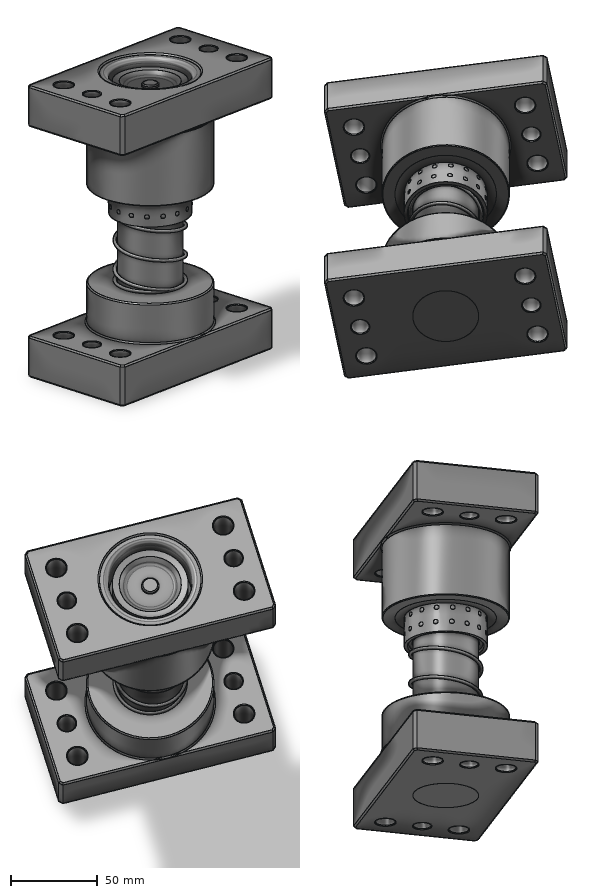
import cadquery as cq
import math

TOTAL_HEIGHT = 179.51

PLATE_WIDTH = 75.0
PLATE_LENGTH = 130.0
PLATE_THICKNESS = 25.2
PLATE_TURN = 31.09
CORNER_CHAMFER = 2.0
PLATE_EDGE_CHAMFER = 1.0
SCREW_HOLE_RADIUS = 5.7
DOWEL_HOLE_RADIUS = 5.1
HOLE_CHAMFER = 0.5
HOLE_SPACING = 22.0
HOLE_ROW_OFFSET = 50.0
BOSS_RADIUS = 36.75
BOSS_FOOT_FLARE = 0.9
LOWER_BOSS_TOP = 50.0
LOWER_BOSS_CHAMFER = 0.8
UPPER_BOSS_BOTTOM = 110.0
UPPER_BOSS_CHAMFER = 0.5

BUSH_RADIUS = 29.25
BUSH_SEAT_CHAMFER = 0.9
BUSH_SETBACK = 1.0
BUSH_BORE_RADIUS = 24.0
BUSH_MOUTH_FILLET = 3.0

POST_RADIUS = 19.0
POST_TOP = 165.0

CAGE_RADIUS = BUSH_BORE_RADIUS
CAGE_BOTTOM = 92.5
CAGE_TOP = 160.0
SPRING_SEAT_RADIUS = 22.0
SPRING_SEAT_DEPTH = 3.0
BALL_RADIUS = 2.5
BALL_CIRCLE_RADIUS = 21.9
BALLS_PER_ROW = 16
BALL_ROWS = 2
FIRST_ROW_HEIGHT = 6.1
ROW_PITCH = 8.8
FIRST_ROW_ANGLE = 1.3
ROW_TWIST = 1.3

WIRE_RADIUS = 1.0
COIL_RADIUS = 20.5
COIL_PITCH = 18.0
COIL_START_ANGLE = 24.0

CAP_RADIUS = 21.9
CAP_TOP = 173.9
CAP_RIM_WIDTH = 4.0
CAP_RIM_DROP = 0.4
DISH_CONE_DEPTH = 2.2
DISH_CONE_ANGLE = 42.0
DISH_FILLET = 3.1

PIN_RADIUS = 5.0
PIN_TOP = 172.4
PIN_BOTTOM = 147.4
PIN_CHAMFER = 0.75


def disc(radius, bottom, top):
    """Cylinder about Z."""
    return cq.Workplane("XY", origin=(0, 0, bottom)).circle(radius).extrude(top - bottom)


def turned(points):
    """Solid turned about Z from a closed outline of (radius, height) points."""
    return cq.Workplane("XZ").polyline(points).close().revolve(360, (0, 0, 0), (0, 1, 0))


def chamfered_hole(radius, chamfer):
    """Cutter for a hole through the plate, widened at both mouths."""
    mouth_radius = radius + chamfer
    return turned([
        (0, 0),
        (mouth_radius, 0),
        (radius, chamfer),
        (radius, PLATE_THICKNESS - chamfer),
        (mouth_radius, PLATE_THICKNESS),
        (0, PLATE_THICKNESS),
    ])


def boss(end, chamfer):
    """Round boss standing on the plate, with a flared foot and a chamfered free end."""
    return turned([
        (0, PLATE_THICKNESS),
        (BOSS_RADIUS + BOSS_FOOT_FLARE, PLATE_THICKNESS),
        (BOSS_RADIUS, PLATE_THICKNESS + BOSS_FOOT_FLARE),
        (BOSS_RADIUS, end - chamfer),
        (BOSS_RADIUS - chamfer, end),
        (0, end),
    ])


def plate_with_boss(boss_end, boss_chamfer):
    """Plate lying on Z = 0 with a round boss on top, before boring."""
    body = cq.Workplane("XY").rect(PLATE_WIDTH, PLATE_LENGTH).extrude(PLATE_THICKNESS)
    body = body.edges("|Z").chamfer(CORNER_CHAMFER)
    body = body.faces("<Z or >Z").chamfer(PLATE_EDGE_CHAMFER)

    for y in (-HOLE_ROW_OFFSET, HOLE_ROW_OFFSET):
        for x, radius in (
            (-HOLE_SPACING, SCREW_HOLE_RADIUS),
            (0, DOWEL_HOLE_RADIUS),
            (HOLE_SPACING, SCREW_HOLE_RADIUS),
        ):
            body = body.cut(chamfered_hole(radius, HOLE_CHAMFER).translate((x, y, 0)))

    return body.union(boss(boss_end, boss_chamfer)).rotate((0, 0, 0), (0, 0, 1), PLATE_TURN)


lower_plate = plate_with_boss(LOWER_BOSS_TOP, LOWER_BOSS_CHAMFER)
lower_plate = lower_plate.cut(disc(POST_RADIUS, 0, LOWER_BOSS_TOP))

bush_bore = turned([
    (0, UPPER_BOSS_BOTTOM),
    (BUSH_RADIUS, UPPER_BOSS_BOTTOM),
    (BUSH_RADIUS, TOTAL_HEIGHT - BUSH_SEAT_CHAMFER),
    (BUSH_RADIUS + BUSH_SEAT_CHAMFER, TOTAL_HEIGHT),
    (0, TOTAL_HEIGHT),
])
upper_plate = (
    plate_with_boss(TOTAL_HEIGHT - UPPER_BOSS_BOTTOM, UPPER_BOSS_CHAMFER)
    .mirror("XY")
    .translate((0, 0, TOTAL_HEIGHT))
    .cut(bush_bore)
)

bush_top = TOTAL_HEIGHT - BUSH_SETBACK
bush = disc(BUSH_RADIUS, UPPER_BOSS_BOTTOM, bush_top)
bush = bush.cut(disc(BUSH_BORE_RADIUS, UPPER_BOSS_BOTTOM, bush_top))
bush = bush.faces(">Z").edges(cq.selectors.RadiusNthSelector(0)).fillet(BUSH_MOUTH_FILLET)

pin_blank = disc(PIN_RADIUS, PIN_BOTTOM, PIN_TOP)
pin = pin_blank.faces(">Z").chamfer(PIN_CHAMFER)
post = disc(POST_RADIUS, 0, POST_TOP).cut(pin_blank)

cone_angle = math.radians(DISH_CONE_ANGLE)
cone_top_radius = CAP_RADIUS - CAP_RIM_WIDTH
cone_top = CAP_TOP - CAP_RIM_DROP
cone_bottom_radius = cone_top_radius - DISH_CONE_DEPTH / math.tan(cone_angle)
cone_bottom = cone_top - DISH_CONE_DEPTH
floor_radius = cone_bottom_radius - DISH_FILLET * math.sin(cone_angle)
dish_floor = cone_bottom - DISH_FILLET * (1 - math.cos(cone_angle))
fillet_middle = (
    floor_radius + DISH_FILLET * math.sin(cone_angle / 2),
    dish_floor + DISH_FILLET * (1 - math.cos(cone_angle / 2)),
)
cap = (
    cq.Workplane("XZ")
    .moveTo(0, POST_TOP)
    .lineTo(CAP_RADIUS, POST_TOP)
    .lineTo(CAP_RADIUS, CAP_TOP)
    .lineTo(cone_top_radius, cone_top)
    .lineTo(cone_bottom_radius, cone_bottom)
    .threePointArc(fillet_middle, (floor_radius, dish_floor))
    .lineTo(0, dish_floor)
    .close()
    .revolve(360, (0, 0, 0), (0, 1, 0))
    .cut(pin_blank)
)

spring_seat = CAGE_BOTTOM + SPRING_SEAT_DEPTH
cage = (
    disc(CAGE_RADIUS, CAGE_BOTTOM, CAGE_TOP)
    .cut(disc(POST_RADIUS, CAGE_BOTTOM, CAGE_TOP))
    .cut(disc(SPRING_SEAT_RADIUS, CAGE_BOTTOM, spring_seat))
)
for row in range(BALL_ROWS):
    row_height = CAGE_BOTTOM + FIRST_ROW_HEIGHT + row * ROW_PITCH
    row_angle = FIRST_ROW_ANGLE + row * ROW_TWIST
    for place in range(BALLS_PER_ROW):
        angle = math.radians(row_angle + place * 360 / BALLS_PER_ROW)
        x = BALL_CIRCLE_RADIUS * math.cos(angle)
        y = BALL_CIRCLE_RADIUS * math.sin(angle)
        cage = cage.union(cq.Workplane("XY").sphere(BALL_RADIUS).translate((x, y, row_height)))

bottom_ring = LOWER_BOSS_TOP + WIRE_RADIUS
top_ring = spring_seat - WIRE_RADIUS
coil_path = cq.Wire.makeHelix(COIL_PITCH, top_ring - bottom_ring, COIL_RADIUS, lefthand=True)
spring = (
    cq.Workplane("XZ", origin=(COIL_RADIUS, 0, 0))
    .circle(WIRE_RADIUS)
    .sweep(cq.Workplane(coil_path), isFrenet=True)
    .rotate((0, 0, 0), (0, 0, 1), COIL_START_ANGLE)
    .translate((0, 0, bottom_ring))
)
for ring_height in (bottom_ring, top_ring):
    end_ring = cq.Solid.makeTorus(COIL_RADIUS, WIRE_RADIUS, cq.Vector(0, 0, ring_height))
    spring = spring.union(cq.Workplane(end_ring))

bodies = [lower_plate, upper_plate, bush, post, pin, cap, cage, spring]
result = cq.Compound.makeCompound([solid for body in bodies for solid in body.solids().vals()])